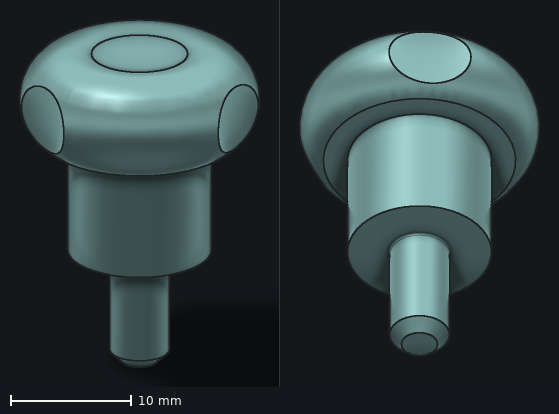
import cadquery as cq
import math

pin_length = 10.0
hub_length = 10.0
head_height = 8.0

pin_radius = 5.0 / 2
pin_chamfer = 1.0
pin_root_fillet = 0.2
hub_radius = 12.0 / 2

head_radius = 10.0
head_base_radius = 8.0
disc_radius = 4.0
rim_mid_angle = 45.0

grip_count = 3
grip_radius = 15.0
grip_floor_distance = 9.0
first_grip_angle = -90.0

hub_base_z = pin_length
head_base_z = hub_base_z + hub_length
head_top_z = head_base_z + head_height

base_step = head_radius - head_base_radius
rim_radius = base_step + head_height - math.sqrt(2 * base_step * head_height)
rim_center_r = head_radius - rim_radius
rim_center_z = head_top_z - rim_radius
disc_z = rim_center_z + math.sqrt(rim_radius**2 - (rim_center_r - disc_radius) ** 2)


def rim_point(angle):
    """Point of the rim circle, as (radius, height), at an angle in degrees."""
    turn = math.radians(angle)
    return (
        rim_center_r + rim_radius * math.cos(turn),
        rim_center_z + rim_radius * math.sin(turn),
    )


def make_head():
    profile = (
        cq.Workplane("XZ")
        .moveTo(0, head_base_z)
        .lineTo(head_base_radius, head_base_z)
        .threePointArc(rim_point(rim_mid_angle), (disc_radius, disc_z))
        .lineTo(0, disc_z)
        .close()
    )
    return profile.revolve(360, (0, 0), (0, 1))


def make_stem():
    """Hub and chamfered pin, with a small fillet where the pin meets the hub."""
    fillet_outer_radius = pin_radius + pin_root_fillet
    profile = (
        cq.Workplane("XZ")
        .lineTo(pin_radius - pin_chamfer, 0)
        .lineTo(pin_radius, pin_chamfer)
        .lineTo(pin_radius, hub_base_z - pin_root_fillet)
        .tangentArcPoint((fillet_outer_radius, hub_base_z), relative=False)
        .lineTo(hub_radius, hub_base_z)
        .lineTo(hub_radius, head_base_z)
        .lineTo(0, head_base_z)
        .close()
    )
    return profile.revolve(360, (0, 0), (0, 1))


def make_grip_cutter(angle):
    return (
        cq.Workplane("XY", origin=(0, 0, head_base_z))
        .center(grip_floor_distance + grip_radius, 0)
        .circle(grip_radius)
        .extrude(head_height)
        .rotate((0, 0, 0), (0, 0, 1), angle)
    )


head = make_head()
for index in range(grip_count):
    head = head.cut(make_grip_cutter(first_grip_angle + index * 360 / grip_count))

result = make_stem().union(head)